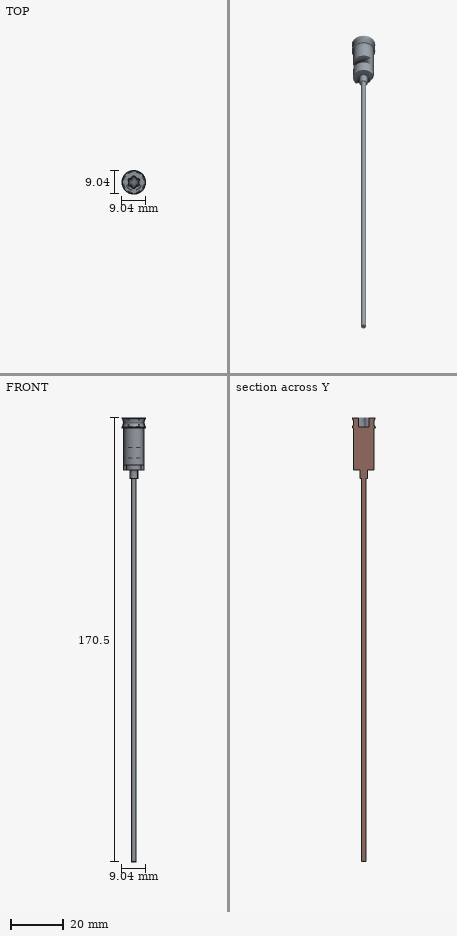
import cadquery as cq
import math

total_height = 170.5
flange_radius = 4.52
body_radius = 4.0
stem_radius = 1.5
wire_radius = 0.94

rim_thickness = 0.2
flare_height = 1.5
neck_length = 0.3
neck_start = rim_thickness + flare_height
neck_end = neck_start + neck_length
collar_start = neck_end + flare_height
collar_end = 4.0
step_depth = 18.0
body_depth = 20.1
stem_depth = 23.4

step_radius = 3.0
step_edge_y = -1.28
step_edge_x = math.sqrt(step_radius**2 - step_edge_y**2)
shoulder_edge_y = -0.6
shoulder_edge_x = math.sqrt(body_radius**2 - shoulder_edge_y**2)

slot_start = 11.5
slot_end = 15.5
slot_floor_y = 1.0

lobe_count = 6
socket_tip_radius = 2.4
socket_valley_radius = 1.9
socket_depth = 3.4


def make_turned_shape():
    """Head with its flared neck, collar, body, stem and wire, revolved about Z."""
    flare_width = flange_radius - body_radius
    arc_radius = (flare_width**2 + flare_height**2) / (2 * flare_width)
    half_angle = math.asin(flare_height / arc_radius) / 2
    middle_radius = body_radius + arc_radius * (1 - math.cos(half_angle))
    middle_height = arc_radius * math.sin(half_angle)

    return (
        cq.Workplane("XZ", origin=(0, 0, total_height / 2))
        .lineTo(flange_radius, 0)
        .lineTo(flange_radius, -rim_thickness)
        .threePointArc((middle_radius, middle_height - neck_start), (body_radius, -neck_start))
        .lineTo(body_radius, -neck_end)
        .threePointArc((middle_radius, -neck_end - middle_height), (flange_radius, -collar_start))
        .lineTo(flange_radius, -collar_end)
        .lineTo(body_radius, -collar_end)
        .lineTo(body_radius, -body_depth)
        .lineTo(stem_radius, -body_depth)
        .lineTo(stem_radius, -stem_depth)
        .lineTo(wire_radius, -stem_depth)
        .lineTo(wire_radius, -total_height)
        .lineTo(0, -total_height)
        .close()
        .revolve(360, (0, 0), (0, 1))
    )


def make_step_cutter():
    """Material outside the narrow front half, between the step and the body end."""
    outer = flange_radius
    return (
        cq.Workplane("XY", origin=(0, 0, total_height / 2 - body_depth))
        .moveTo(-shoulder_edge_x, shoulder_edge_y)
        .lineTo(-step_edge_x, step_edge_y)
        .threePointArc((0, -step_radius), (step_edge_x, step_edge_y))
        .lineTo(shoulder_edge_x, shoulder_edge_y)
        .lineTo(outer, shoulder_edge_y)
        .lineTo(outer, -outer)
        .lineTo(-outer, -outer)
        .lineTo(-outer, shoulder_edge_y)
        .close()
        .extrude(body_depth - step_depth)
    )


def make_slot_cutter():
    """Rectangular slot running along X, open to the back."""
    return cq.Workplane("XY", origin=(0, slot_floor_y, total_height / 2 - slot_end)).box(
        2 * flange_radius, flange_radius, slot_end - slot_start, centered=(True, False, False)
    )


def make_socket_cutter():
    """Star socket whose rounded lobes alternate with rounded valleys."""
    mean_radius = (socket_tip_radius + socket_valley_radius) / 2
    wave_height = (socket_tip_radius - socket_valley_radius) / 2

    def lobed_curve(t):
        angle = 2 * math.pi * t
        radius = mean_radius - wave_height * math.cos(lobe_count * angle)
        return radius * math.cos(angle), radius * math.sin(angle)

    points_per_lobe = 8
    point_count = lobe_count * points_per_lobe
    outline = [lobed_curve(i / point_count) for i in range(point_count)]
    return (
        cq.Workplane("XY", origin=(0, 0, total_height / 2 - socket_depth))
        .spline(outline, periodic=True)
        .close()
        .extrude(socket_depth)
    )


result = (
    make_turned_shape()
    .cut(make_step_cutter())
    .cut(make_slot_cutter())
    .cut(make_socket_cutter())
)